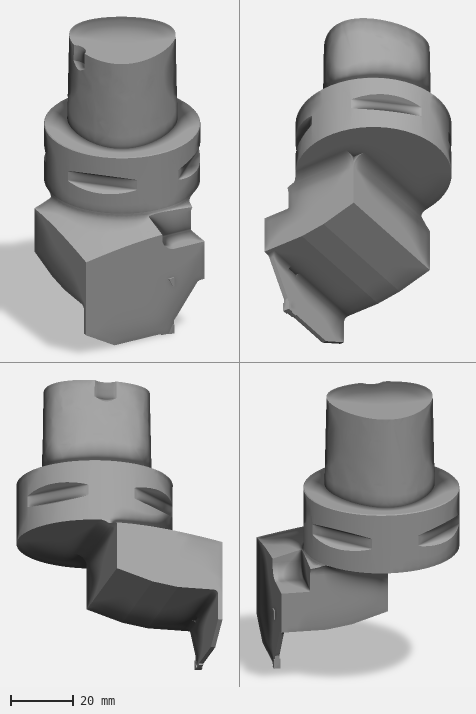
import cadquery as cq
import math


OVERALL_HEIGHT = 90.0

SHANK_HEIGHT = 30.0
SHANK_BASE_RADIUS = 17.55
SHANK_TOP_RADIUS = 16.9
LOBE_HEIGHT = 1.1
SHANK_POINTS = 36

NOTCH_RADIUS = 4.4
NOTCH_Y = -18.3
NOTCH_DEPTH = 5.6
NOTCH_CONE_HEIGHT = 3.2

FLANGE_RADIUS = 25.0
FLANGE_HEIGHT = 20.1
FLANGE_CHAMFER = 0.3
SLOT_COUNT = 4
SLOT_CHORD = 23.0
SLOT_FLOOR_RADIUS = math.sqrt(FLANGE_RADIUS**2 - (SLOT_CHORD / 2)**2)
SLOT_Z = -FLANGE_HEIGHT / 2
SLOT_FLOOR_HALF = 1.8
SLOT_MOUTH_HALF = 3.3
SLOT_FILLET = 0.5

HEAD_RIGHT = 34.65
HEAD_FRONT = -31.95
HEAD_BACK = 11.25
HEAD_FILLET = 4.05
HEAD_BOTTOM = -43.4
HEAD_LEFT_BOTTOM = -38.5
BEVEL_X = 11.7
BEVEL_Z = -42.1
BEVEL_END_X = 20.1
CONE_START_RADIUS = 25.8
CONE_START_Z = -21.4
CONE_END_RADIUS = 54.0
CONE_ANGLE = 15.0

STEP_X = 25.3
STEP_FLOOR = -30.0
STEP_FRONT = -4.2
STEP_RADIUS = 4.6
STEP_CORNER_FILLET = 0.45

BLADE_THICKNESS = 1.4
BLADE_LEFT = HEAD_RIGHT - BLADE_THICKNESS
BLADE_FILLET = 1.4
BLADE_BOTTOM = -59.3
BLADE_BEVEL_Y = -21.6
BLADE_BEVEL_Z = -53.3
JAW_ROOT_Y = 8.9
JAW_ROOT_FILLET = 1.8

INSERT_BOTTOM = SHANK_HEIGHT - OVERALL_HEIGHT
INSERT_TOP = -40.05
INSERT_MIDDLE = (INSERT_TOP + INSERT_BOTTOM) / 2
INSERT_BACK = -4.5
INSERT_RISE = 1.0
INSERT_RISE_HALF = 4.3
INSERT_RAMP = 1.3
INSERT_CLEARANCE_RISE = 0.3
NOSE_OVERHANG = 0.4
NOSE_HEIGHT = 3.15
NOSE_DEPTH_INNER = 0.5
NOSE_DEPTH_TIP = 2.0


def lobed_outline(radius):
    """Points of a three-lobed curve with one lobe pointing to +Y."""
    points = []
    for i in range(SHANK_POINTS):
        angle = 2 * math.pi * i / SHANK_POINTS
        points.append((
            -radius * math.sin(angle) + LOBE_HEIGHT * math.sin(2 * angle),
            radius * math.cos(angle) + LOBE_HEIGHT * math.cos(2 * angle),
        ))
    return points


def make_shank():
    shank = (
        cq.Workplane("XY")
        .spline(lobed_outline(SHANK_BASE_RADIUS), periodic=True).close()
        .workplane(offset=SHANK_HEIGHT)
        .spline(lobed_outline(SHANK_TOP_RADIUS), periodic=True).close()
        .loft(ruled=True)
    )
    notch = (
        cq.Workplane("XZ")
        .polyline([
            (0, SHANK_HEIGHT),
            (NOTCH_RADIUS, SHANK_HEIGHT),
            (NOTCH_RADIUS, SHANK_HEIGHT - NOTCH_DEPTH),
            (0, SHANK_HEIGHT - NOTCH_DEPTH - NOTCH_CONE_HEIGHT),
        ])
        .close()
        .revolve(360, (0, 0, 0), (0, 1, 0))
        .translate((0, NOTCH_Y, 0))
    )
    return shank.cut(notch)


def make_flange():
    flange = (
        cq.Workplane("XY")
        .circle(FLANGE_RADIUS).extrude(-FLANGE_HEIGHT)
        .faces(">Z").edges().chamfer(FLANGE_CHAMFER)
    )
    slot_depth = FLANGE_RADIUS - SLOT_FLOOR_RADIUS
    slot = (
        cq.Workplane("XZ")
        .polyline([
            (SLOT_FLOOR_RADIUS, SLOT_Z - SLOT_FLOOR_HALF),
            (SLOT_FLOOR_RADIUS, SLOT_Z + SLOT_FLOOR_HALF),
            (SLOT_FLOOR_RADIUS + slot_depth, SLOT_Z + SLOT_MOUTH_HALF),
            (SLOT_FLOOR_RADIUS + slot_depth, SLOT_Z - SLOT_MOUTH_HALF),
        ])
        .close()
        .extrude(FLANGE_RADIUS, both=True)
        .faces("<X").edges("|Y").fillet(SLOT_FILLET)
    )
    for i in range(SLOT_COUNT):
        angle = (i + 0.5) * 360 / SLOT_COUNT
        flange = flange.cut(slot.rotate((0, 0, 0), (0, 0, 1), angle))
    return flange


def make_head_prism():
    """Head and blade as one XZ profile, flared into the flange on its -X side."""
    flare_bottom = -FLANGE_HEIGHT - HEAD_FILLET
    diagonal = HEAD_FILLET * math.sqrt(0.5)
    blade_diagonal = BLADE_FILLET * math.sqrt(0.5)
    return (
        cq.Workplane("XZ", origin=(0, HEAD_BACK, 0))
        .moveTo(HEAD_RIGHT, -FLANGE_HEIGHT)
        .lineTo(-HEAD_FILLET, -FLANGE_HEIGHT)
        .threePointArc((-HEAD_FILLET + diagonal, flare_bottom + diagonal), (0, flare_bottom))
        .lineTo(0, HEAD_LEFT_BOTTOM)
        .lineTo(BEVEL_X, BEVEL_Z)
        .lineTo(BEVEL_END_X, HEAD_BOTTOM)
        .lineTo(BLADE_LEFT - BLADE_FILLET, HEAD_BOTTOM)
        .threePointArc(
            (BLADE_LEFT - BLADE_FILLET + blade_diagonal, HEAD_BOTTOM - BLADE_FILLET + blade_diagonal),
            (BLADE_LEFT, HEAD_BOTTOM - BLADE_FILLET),
        )
        .lineTo(BLADE_LEFT, BLADE_BOTTOM)
        .lineTo(HEAD_RIGHT, BLADE_BOTTOM)
        .close()
        .extrude(HEAD_BACK - HEAD_FRONT)
    )


def make_back_flare():
    """Concave flare that joins the head's +Y side to the underside of the flange."""
    flare_bottom = -FLANGE_HEIGHT - HEAD_FILLET
    diagonal = HEAD_FILLET * (1 - math.sqrt(0.5))
    return (
        cq.Workplane("YZ")
        .moveTo(HEAD_BACK, -FLANGE_HEIGHT)
        .lineTo(HEAD_BACK + HEAD_FILLET, -FLANGE_HEIGHT)
        .threePointArc(
            (HEAD_BACK + diagonal, -FLANGE_HEIGHT - diagonal),
            (HEAD_BACK, flare_bottom),
        )
        .close()
        .extrude(STEP_X)
    )


def make_cone_envelope():
    """Round space under the head's conical top, with a concave neck at the flange."""
    slope = math.radians(CONE_ANGLE)
    cone_drop = (CONE_END_RADIUS - CONE_START_RADIUS) * math.tan(slope)
    return (
        cq.Workplane("XZ")
        .moveTo(FLANGE_RADIUS, -FLANGE_HEIGHT)
        .spline(
            [(CONE_START_RADIUS, CONE_START_Z)],
            tangents=[(0, -1), (math.cos(slope), -math.sin(slope))],
            includeCurrent=True,
        )
        .lineTo(CONE_END_RADIUS, CONE_START_Z - cone_drop)
        .lineTo(CONE_END_RADIUS, BLADE_BOTTOM)
        .lineTo(0, BLADE_BOTTOM)
        .lineTo(0, -FLANGE_HEIGHT)
        .close()
        .revolve(360, (0, 0, 0), (0, 1, 0))
    )


def make_step_cutter():
    size_x = HEAD_RIGHT - STEP_X
    size_y = HEAD_BACK + HEAD_FILLET - STEP_FRONT
    return (
        cq.Workplane("XY", origin=(STEP_X, STEP_FRONT, STEP_FLOOR))
        .box(size_x, size_y, -STEP_FLOOR, centered=False)
        .faces("<Z").edges("<Y").fillet(STEP_RADIUS)
        .edges("<X and <Z").fillet(STEP_CORNER_FILLET)
    )


def make_jaw_cutter():
    """Space behind the sloping jaw edge of the blade."""
    jaw_end_z = INSERT_MIDDLE - INSERT_RISE_HALF
    cutter_back = HEAD_BACK + HEAD_FILLET
    return (
        cq.Workplane("YZ")
        .polyline([
            (JAW_ROOT_Y, HEAD_BOTTOM),
            (INSERT_RISE, jaw_end_z),
            (INSERT_RISE, BLADE_BOTTOM),
            (cutter_back, BLADE_BOTTOM),
            (cutter_back, HEAD_BOTTOM),
        ])
        .close()
        .extrude(HEAD_RIGHT)
        .edges(cq.selectors.NearestToPointSelector((HEAD_RIGHT / 2, JAW_ROOT_Y, HEAD_BOTTOM)))
        .fillet(JAW_ROOT_FILLET)
    )


def make_blade_bevel_cutter():
    return (
        cq.Workplane("YZ")
        .polyline([
            (HEAD_FRONT, BLADE_BEVEL_Z),
            (BLADE_BEVEL_Y, BLADE_BOTTOM),
            (HEAD_FRONT, BLADE_BOTTOM),
        ])
        .close()
        .extrude(HEAD_RIGHT)
    )


def make_insert():
    ramp_end = INSERT_RISE_HALF + INSERT_RAMP
    half_length = (INSERT_TOP - INSERT_BOTTOM) / 2
    back_half_length = half_length - INSERT_CLEARANCE_RISE
    body = (
        cq.Workplane("YZ", origin=(BLADE_LEFT, 0, INSERT_MIDDLE))
        .polyline([
            (INSERT_BACK, -back_half_length),
            (0, -half_length),
            (0, -ramp_end),
            (INSERT_RISE, -INSERT_RISE_HALF),
            (INSERT_RISE, INSERT_RISE_HALF),
            (0, ramp_end),
            (0, half_length),
            (INSERT_BACK, back_half_length),
        ])
        .close()
        .extrude(BLADE_THICKNESS)
    )
    tip_rise = INSERT_CLEARANCE_RISE * NOSE_DEPTH_TIP / -INSERT_BACK
    for end in (-1, 1):
        nose = (
            cq.Workplane("YZ", origin=(BLADE_LEFT - NOSE_OVERHANG, 0, INSERT_MIDDLE))
            .polyline([
                (0, end * half_length),
                (0, end * (half_length - NOSE_HEIGHT)),
                (-NOSE_DEPTH_INNER, end * (half_length - NOSE_HEIGHT)),
                (-NOSE_DEPTH_TIP, end * (half_length - tip_rise)),
            ])
            .close()
            .extrude(BLADE_THICKNESS + 2 * NOSE_OVERHANG)
        )
        body = body.union(nose)
    return body


def make_insert_window():
    """Opening through the blade's root fillet that bares the insert."""
    return cq.Workplane("XY").box(
        BLADE_FILLET, -INSERT_BACK, BLADE_FILLET, centered=False
    ).translate((BLADE_LEFT - BLADE_FILLET, INSERT_BACK, HEAD_BOTTOM - BLADE_FILLET))


def make_holder(insert):
    head = (
        make_head_prism()
        .union(make_back_flare())
        .intersect(make_cone_envelope())
        .cut(make_step_cutter())
        .cut(make_jaw_cutter())
        .cut(make_blade_bevel_cutter())
    )
    below_insert = (
        cq.Workplane("XY", origin=(BLADE_LEFT, INSERT_BACK, BLADE_BOTTOM))
        .box(BLADE_THICKNESS, INSERT_RISE - INSERT_BACK, INSERT_MIDDLE - BLADE_BOTTOM, centered=False)
    )
    head = head.cut(below_insert).cut(make_insert_window()).cut(insert)
    return make_shank().union(make_flange()).union(head)


insert = make_insert()
holder = make_holder(insert)
result = cq.Compound.makeCompound([holder.solids().val(), insert.solids().val()])